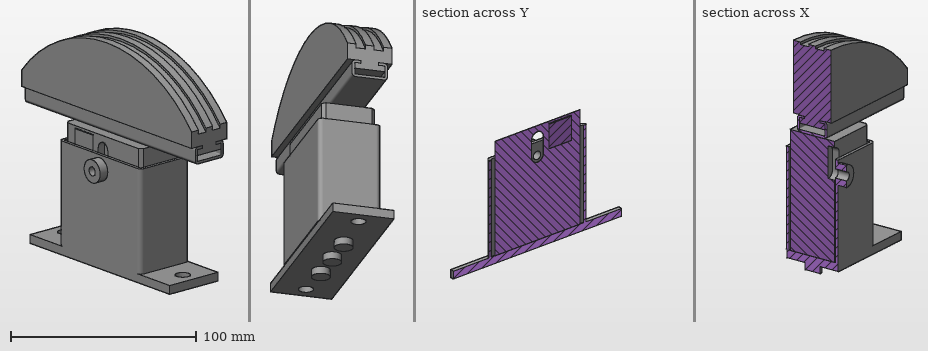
import cadquery as cq


tube_width = 66.9
tube_depth = 35.0
tube_top = 65.0
tube_wall = 2.0
tube_corner_radius = 2.5
plate_length = 115.1
plate_depth = 34.6
plate_thickness = 5.0
plate_center_y = (plate_depth - tube_depth) / 2
mounting_hole_diameter = 8.3
mounting_hole_spacing = 96.9
foot_diameter = 10.2
foot_height = 4.0
foot_spacing = 21.0
foot_count = 3
boss_diameter = 13.2
boss_length = 5.5
boss_hole_diameter = 5.0
boss_z = 56.7
front_y = -tube_depth / 2

slider_width = 62.2
slider_depth = 30.0
slider_chamfer = 2.0
slider_top = 75.3
slider_center_y = plate_center_y
slider_front_y = slider_center_y - slider_depth / 2
slot_width = 7.8
slot_depth = 4.5
slot_travel = 10.8

label_width = 15.0
label_height = 15.0
label_thickness = 1.0
label_center_x = -15.7
label_top_gap = 0.3
label_recess_drop = 1.5
label_recess_top = slider_top - label_recess_drop

overall_length = 140.0
rail_width = 20.0
rail_height = 9.8
rail_wall = 1.5
rail_mouth = 10.0
rail_outer_radius = 2.0
rail_inner_radius = rail_outer_radius - rail_wall
rail_inner_width = rail_width - 2 * rail_wall
rail_top = slider_top + rail_height

shoe_width = 25.2
shoe_end_z = 94.5
shoe_top = 127.7
shoe_foot_height = 3.4
groove_width = 5.3
groove_depth = 1.4
rib_width = (shoe_width - 2 * groove_width) / 3
shoe_rise = shoe_top - shoe_end_z
shoe_radius = ((overall_length / 2) ** 2 + shoe_rise**2) / (2 * shoe_rise)
shoe_arc_center_z = shoe_top - shoe_radius


def block(width, depth, bottom, top, center_y=0.0):
    """Upright block centred on x = 0."""
    return cq.Workplane("XY", origin=(0, center_y, bottom)).rect(width, depth).extrude(top - bottom)


def front_cylinder(diameter, y_start, y_end, x, z):
    """Cylinder along Y between two y positions."""
    plane = cq.Plane(origin=(x, y_start, z), xDir=(1, 0, 0), normal=(0, 1, 0))
    return cq.Workplane(plane).circle(diameter / 2).extrude(y_end - y_start)


def make_housing():
    tube = block(tube_width, tube_depth, plate_thickness, tube_top).edges("|Z").fillet(tube_corner_radius)
    cavity = block(tube_width - 2 * tube_wall, tube_depth - 2 * tube_wall, plate_thickness, tube_top)
    cavity = cavity.edges("|Z").fillet(tube_corner_radius - tube_wall)
    plate = block(plate_length, plate_depth, 0, plate_thickness, plate_center_y)
    mounting_holes = (
        cq.Workplane("XY", origin=(0, plate_center_y, 0))
        .rarray(mounting_hole_spacing, 1.4, 2, 1)
        .circle(mounting_hole_diameter / 2)
        .extrude(plate_thickness)
    )
    feet = (
        cq.Workplane("XY", origin=(0, plate_center_y, 0))
        .rarray(foot_spacing, 1.4, foot_count, 1)
        .circle(foot_diameter / 2)
        .extrude(-foot_height)
    )
    boss = front_cylinder(boss_diameter, front_y - boss_length, front_y, 0, boss_z)
    boss_hole = front_cylinder(boss_hole_diameter, front_y - boss_length, front_y + tube_wall, 0, boss_z)
    return tube.cut(cavity).union(plate).union(feet).union(boss).cut(mounting_holes).cut(boss_hole)


def make_slot():
    """Guide slot for a screw in the boss; its lower round end is on the boss axis."""
    slot_back_y = slider_front_y + slot_depth
    lower_end = front_cylinder(slot_width, slider_front_y, slot_back_y, 0, boss_z)
    upper_end = front_cylinder(slot_width, slider_front_y, slot_back_y, 0, boss_z + slot_travel)
    middle_y = slider_front_y + slot_depth / 2
    middle = block(slot_width, slot_depth, boss_z, boss_z + slot_travel, middle_y)
    return lower_end.union(middle).union(upper_end)


def label_block(top):
    """Block of the label's width and thickness up to a given height, flush with the slider's front."""
    bottom = label_recess_top - label_top_gap - label_height
    center_y = slider_front_y + label_thickness / 2
    return block(label_width, label_thickness, bottom, top, center_y).translate((label_center_x, 0, 0))


def make_slider():
    body = block(slider_width, slider_depth, plate_thickness, slider_top, slider_center_y)
    body = body.edges("|Z").chamfer(slider_chamfer)
    return body.cut(make_slot()).cut(label_block(label_recess_top))


def make_label():
    return label_block(label_recess_top - label_top_gap)


def lengthwise_bar(width, bottom, top):
    """Bar along X over the full length of the tensioner."""
    return block(overall_length, width, bottom, top)


def make_rail():
    outside = lengthwise_bar(rail_width, slider_top, rail_top).edges("|X").fillet(rail_outer_radius)
    channel = lengthwise_bar(rail_inner_width, slider_top + rail_wall, rail_top - rail_wall)
    channel = channel.edges("|X").fillet(rail_inner_radius)
    mouth = lengthwise_bar(rail_mouth, rail_top - rail_wall, rail_top)
    return outside.cut(channel).cut(mouth)


def make_groove(center_y):
    """Chain groove: everything outside the cylinder that forms the groove's floor."""
    surround = block(overall_length, groove_width, rail_top, shoe_top, center_y)
    floor_diameter = 2 * (shoe_radius - groove_depth)
    y_start = center_y - groove_width / 2
    floor = front_cylinder(floor_diameter, y_start, y_start + groove_width, 0, shoe_arc_center_z)
    return surround.cut(floor)


def make_shoe():
    half_length = overall_length / 2
    body = (
        cq.Workplane("XZ")
        .moveTo(-half_length, rail_top)
        .lineTo(-half_length, shoe_end_z)
        .threePointArc((0, shoe_top), (half_length, shoe_end_z))
        .lineTo(half_length, rail_top)
        .close()
        .extrude(shoe_width / 2, both=True)
    )
    for side in (-1, 1):
        body = body.cut(make_groove(side * (rib_width + groove_width) / 2))
    foot_top = rail_top - rail_wall
    neck = lengthwise_bar(rail_mouth, foot_top, rail_top)
    foot = lengthwise_bar(rail_inner_width, foot_top - shoe_foot_height, foot_top)
    foot = foot.edges("|X and >Z").fillet(rail_inner_radius)
    return body.union(neck).union(foot)


housing = make_housing()
slider = make_slider()
label = make_label()
rail = make_rail()
shoe = make_shoe()

result = cq.Compound.makeCompound([housing.val(), slider.val(), label.val(), rail.val(), shoe.val()])